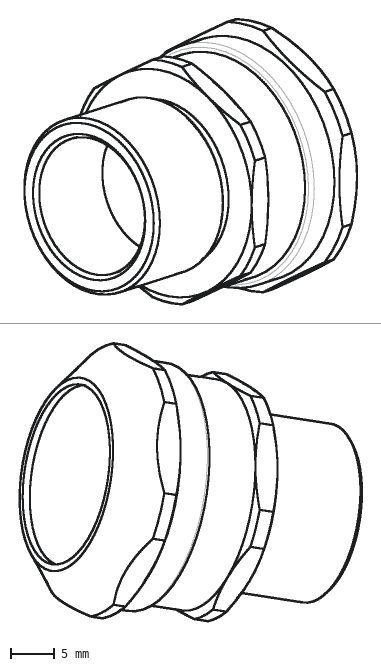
import cadquery as cq
import math


spigot_dia = 20.9
relief_dia = 19.9
body_dia = 27.0
collar_dia = 29.0
mouth_rim_dia = 22.55
mouth_dia = 21.0
bore_dia = 16.3

body_hex_flats = body_dia
body_hex_corners = 28.95
nut_hex_flats = 30.0
nut_hex_corners = 31.95

relief_start = 12.0
body_hex_start = 13.05
body_hex_end = 15.95
collar_start = 22.35
collar_end = 26.33
total_length = 33.45

edge_chamfer = 0.5
collar_fillet = 0.47
mouth_depth = 0.95
bore_depth = 11.5
hex_chamfer_slope = math.tan(math.radians(30))
crown_slope = math.tan(math.radians(45))


def revolve(profile):
    """Revolve a closed list of (radius, Y) points around the Y axis."""
    return cq.Workplane("XY").polyline(profile).close().revolve(360, (0, 0), (0, 1))


def cylinder(diameter, start, end):
    """Round bar along the axis from start to end."""
    return cq.Workplane("XZ", origin=(0, start, 0)).circle(diameter / 2).extrude(start - end)


def hex_prism(flats, start, end):
    """Hexagonal bar with two flats facing -X and +X."""
    corner_dia = flats / math.cos(math.radians(30))
    prism = cq.Workplane("XZ", origin=(0, start, 0)).polygon(6, corner_dia).extrude(start - end)
    return prism.rotate((0, 0, 0), (0, 1, 0), 30)


def make_spigot():
    """Plain spigot with chamfered ends and a relief groove behind it."""
    spigot = cylinder(spigot_dia, 0, relief_start).edges().chamfer(edge_chamfer)
    return spigot.union(cylinder(relief_dia, relief_start - edge_chamfer, body_hex_start))


def make_body():
    """Hexagon with conical corner chamfers, followed by a round barrel."""
    face_radius = body_dia / 2
    corner_radius = body_hex_corners / 2
    chamfer_length = (corner_radius - face_radius) * hex_chamfer_slope
    envelope = revolve([
        (0, body_hex_start),
        (face_radius, body_hex_start),
        (corner_radius, body_hex_start + chamfer_length),
        (corner_radius, body_hex_end - chamfer_length),
        (face_radius, body_hex_end),
        (0, body_hex_end),
    ])
    hexagon = hex_prism(body_hex_flats, body_hex_start, body_hex_end).intersect(envelope)
    return hexagon.union(cylinder(body_dia, body_hex_end, collar_end))


def make_nut():
    """Round collar and hexagon, closed by a conical crown up to the mouth rim."""
    collar = cylinder(collar_dia, collar_start, collar_end).faces("<Y").edges().fillet(collar_fillet)
    collar_radius = collar_dia / 2
    corner_radius = nut_hex_corners / 2
    rim_radius = mouth_rim_dia / 2
    front_chamfer_length = (corner_radius - collar_radius) * hex_chamfer_slope
    crown_length = (corner_radius - rim_radius) * crown_slope
    envelope = revolve([
        (0, collar_end),
        (collar_radius, collar_end),
        (corner_radius, collar_end + front_chamfer_length),
        (corner_radius, total_length - crown_length),
        (rim_radius, total_length),
        (0, total_length),
    ])
    hexagon = hex_prism(nut_hex_flats, collar_end, total_length).intersect(envelope)
    return collar.union(hexagon)


def make_bore():
    """Blind bore entering through the spigot, with a chamfered entry."""
    bore_radius = bore_dia / 2
    return revolve([
        (0, 0),
        (bore_radius + edge_chamfer, 0),
        (bore_radius, edge_chamfer),
        (bore_radius, bore_depth),
        (0, bore_depth),
    ])


mouth = cylinder(mouth_dia, total_length - mouth_depth, total_length)

result = make_spigot().union(make_body()).union(make_nut()).cut(make_bore()).cut(mouth)